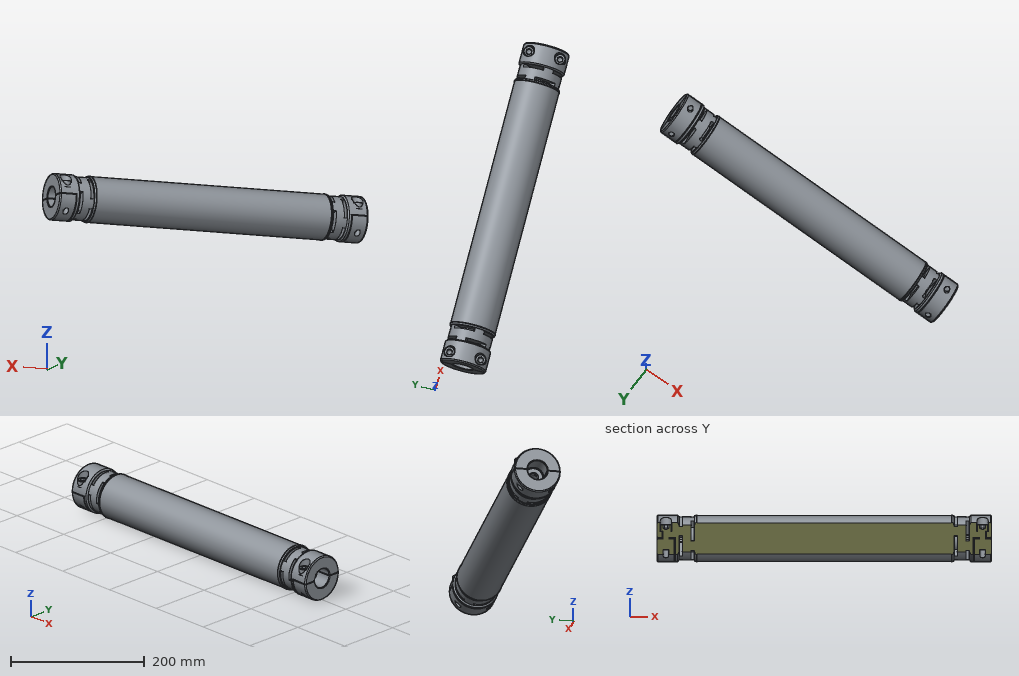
import cadquery as cq
import math

length = 500.0
end_x = -length / 2

hub_diameter = 70.0
hub_length = 31.0
hub_end_chamfer_length = 2.0
hub_end_chamfer_height = 1.5
hub_shoulder = 2.0
bore_diameter = 30.0
bore_chamfer_diameter = 32.43
recess_diameter = 27.0
recess_depth = 1.5
through_diameter = 14.5

cap_length = 26.0
cap_slot = 1.5
split_gap = 1.5
bore_depth = cap_length + cap_slot

neck_diameter = 65.0
core_diameter = 40.5
jaw_count = 4
jaw_pitch = 360 / jaw_count
jaw_angle = 28.0
window_angle = jaw_pitch - jaw_angle
hub_jaw_middle = jaw_pitch / 4
hub_window_start = 33.7
tube_window_start = 51.0
window_width = 4.5

tube_diameter = 69.0
collar_diameter = 70.0
collar_rim_diameter = 68.0
collar_rim_start = 56.5
collar_start = 59.0
collar_end = 60.0

screw_x = 13.5
screw_y = 24.0
screw_diameter = 10.0
screw_tip_z = -17.0
clearance_diameter = 10.4
tapped_diameter = 8.38
counterbore_diameter = 17.0
counterbore_floor_z = 10.5
head_diameter = 16.0
head_height = 10.0
head_chamfer = 0.75
socket_across_flats = 8.0
socket_depth = 5.0
socket_point_depth = 2.5


def rod_x(diameter, start, stop):
    """Cylinder on the X axis; start and stop are distances from the end face."""
    return cq.Workplane("YZ", origin=(end_x + start, 0, 0)).circle(diameter / 2).extrude(stop - start)


def rod_z(diameter, y, bottom, top):
    """Vertical cylinder on a clamping screw axis."""
    return cq.Workplane("XY", origin=(end_x + screw_x, y, bottom)).circle(diameter / 2).extrude(top - bottom)


def end_body():
    """Turned hub, neck and collar at one end of the tube."""
    hub_radius = hub_diameter / 2
    neck_radius = neck_diameter / 2
    collar_radius = collar_diameter / 2
    outline = [
        (0, 0),
        (0, hub_radius - hub_end_chamfer_height),
        (hub_end_chamfer_length, hub_radius),
        (hub_length, hub_radius),
        (hub_length + hub_shoulder, neck_radius),
        (collar_rim_start, neck_radius),
        (collar_rim_start, collar_rim_diameter / 2),
        (collar_start, collar_radius),
        (collar_end, collar_radius),
        (collar_end, 0),
    ]
    profile = cq.Workplane("XY", origin=(end_x, 0, 0)).polyline(outline).close()
    return profile.revolve(360, (0, 0, 0), (1, 0, 0))


def cut_bore(body):
    """Shaft bore with a chamfered mouth and a recessed floor, and the smaller axial hole."""
    chamfer = (bore_chamfer_diameter - bore_diameter) / 2
    mouth = cq.Workplane("YZ", origin=(end_x, 0, 0)).circle(bore_chamfer_diameter / 2)
    mouth = mouth.workplane(offset=chamfer).circle(bore_diameter / 2).loft(combine=True)
    body = body.cut(rod_x(bore_diameter, 0, bore_depth)).cut(mouth)
    body = body.cut(rod_x(recess_diameter, bore_depth, bore_depth + recess_depth))
    return body.cut(rod_x(through_diameter, 0, collar_end))


def jaw_windows(start, middle_angle, inner_diameter):
    """Ring of openings between neighbouring jaws; angles run from -Y towards +Z."""
    reach = hub_diameter
    half_angle = math.radians(window_angle / 2)
    windows = cq.Workplane("XY")
    for index in range(jaw_count):
        middle = math.radians(middle_angle + index * jaw_pitch)
        corners = [(0, 0)]
        for angle in (middle - half_angle, middle + half_angle):
            corners.append((-reach * math.cos(angle), reach * math.sin(angle)))
        sector = cq.Workplane("YZ", origin=(end_x + start, 0, 0)).polyline(corners).close()
        windows = windows.add(sector.extrude(window_width))
    return windows.combine().cut(rod_x(inner_diameter, start, start + window_width))


def cut_jaw_windows(body):
    """Openings beside the hub reach the axial hole; those beside the tube stop at a core."""
    body = body.cut(jaw_windows(hub_window_start, -hub_jaw_middle, through_diameter))
    return body.cut(jaw_windows(tube_window_start, hub_jaw_middle, core_diameter))


def cut_cap_slots(body):
    """Horizontal split through the axis and the cross cut behind the lower cap."""
    split = cq.Workplane("XY", origin=(end_x, 0, 0)).box(
        bore_depth, hub_diameter, split_gap, centered=(False, True, True)
    )
    cross_height = hub_diameter / 2 + split_gap / 2
    cross = cq.Workplane("XY", origin=(end_x + cap_length, 0, -hub_diameter / 2)).box(
        cap_slot, hub_diameter, cross_height, centered=(False, True, False)
    )
    return body.cut(split).cut(cross)


def add_screw(body, y):
    """Counterbored and tapped hole with its socket head screw, which holds the cap."""
    hub_radius = hub_diameter / 2
    head_top_z = counterbore_floor_z + head_height
    body = body.cut(rod_z(counterbore_diameter, y, counterbore_floor_z, hub_radius))
    body = body.cut(rod_z(clearance_diameter, y, 0, counterbore_floor_z))
    body = body.cut(rod_z(tapped_diameter, y, -hub_radius, 0))

    socket_corner_diameter = socket_across_flats / math.cos(math.pi / 6)
    socket = cq.Workplane("XY", origin=(end_x + screw_x, y, head_top_z - socket_depth))
    socket = socket.polygon(6, socket_corner_diameter).extrude(socket_depth)
    point = cq.Solid.makeCone(
        0,
        socket_across_flats / 2,
        socket_point_depth,
        pnt=cq.Vector(end_x + screw_x, y, head_top_z - socket_depth - socket_point_depth),
    )
    shank = rod_z(screw_diameter, y, screw_tip_z, counterbore_floor_z)
    head = rod_z(head_diameter, y, counterbore_floor_z, head_top_z)
    head = head.faces(">Z").chamfer(head_chamfer)
    screw = head.union(shank).cut(socket).cut(cq.Workplane(point))
    return body.union(screw)


def build_end():
    """Complete clamping hub and jaw section at the -X end."""
    body = cut_bore(end_body())
    body = cut_jaw_windows(body)
    body = cut_cap_slots(body)
    for y in (-screw_y, screw_y):
        body = add_screw(body, y)
    return body


near_end = build_end()
far_end = near_end.rotate((0, 0, 0), (0, 0, 1), 180)
tube = rod_x(tube_diameter, collar_end, length - collar_end)
tube = tube.cut(rod_x(through_diameter, collar_end, length - collar_end))
result = tube.union(near_end).union(far_end)